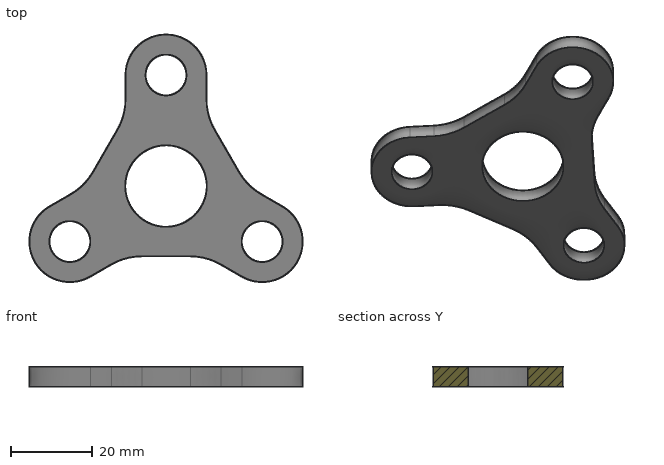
import cadquery as cq
import math

thickness = 5.0
arm_count = 3
full_turn = 360.0
arm_width = 20.0
arm_reach = 10.0
center_hole_diameter = 20.0
arm_hole_diameter = 10.0
blend_radius = 15.0

hub_sides = 2 * arm_count
hub_half_side_angle = full_turn / hub_sides / 2
hub_apothem = arm_width / 2 / math.tan(math.radians(hub_half_side_angle))
hub_corner_diameter = arm_width / math.sin(math.radians(hub_half_side_angle))
hole_circle_radius = hub_apothem + arm_reach
first_arm_angle = 90.0


def make_hub():
    """Hexagonal plate with corners on the X axis and flats facing +Y and -Y."""
    return cq.Workplane("XY").polygon(hub_sides, hub_corner_diameter).extrude(thickness)


def make_arm(angle):
    """Round-ended arm running from the part's centre out to its hole centre."""
    bar = (
        cq.Workplane("XY")
        .center(hole_circle_radius / 2, 0)
        .rect(hole_circle_radius, arm_width)
        .extrude(thickness)
    )
    tip = cq.Workplane("XY").center(hole_circle_radius, 0).circle(arm_width / 2).extrude(thickness)
    return bar.union(tip).rotate((0, 0, 0), (0, 0, 1), angle)


def is_hub_corner(edge):
    """Tell whether a vertical edge lies inside the circle through the arm hole centres."""
    middle = edge.Center()
    return math.hypot(middle.x, middle.y) < hole_circle_radius


def blend_arms(body):
    """Round the concave vertical edges at the hub corners, where arms and hub meet."""
    return body.edges("|Z").filter(is_hub_corner).fillet(blend_radius)


def cut_holes(body):
    """Cut the central bore and one through hole at the end of each arm."""
    body = body.faces(">Z").workplane(origin=(0, 0, 0)).hole(center_hole_diameter)
    return (
        body.faces(">Z")
        .workplane(origin=(0, 0, 0))
        .polarArray(hole_circle_radius, first_arm_angle, full_turn, arm_count)
        .hole(arm_hole_diameter)
    )


plate = make_hub()
for index in range(arm_count):
    plate = plate.union(make_arm(first_arm_angle + index * full_turn / arm_count))
result = cut_holes(blend_arms(plate.clean()))